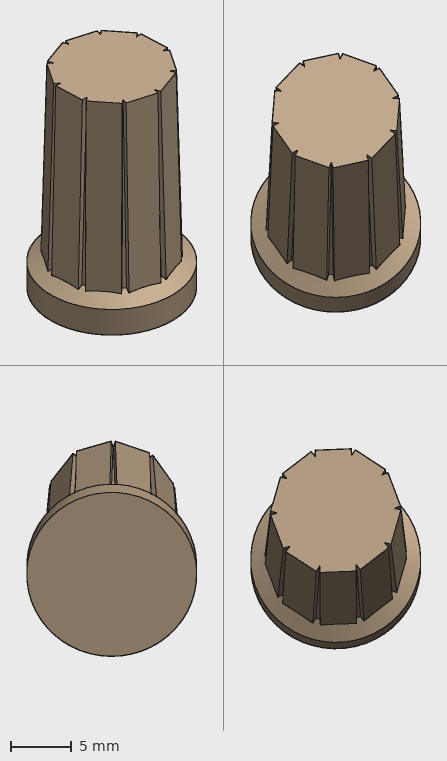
import cadquery as cq

total_height = 22.0
base_diameter = 14.0
base_radius = base_diameter / 2

collar_height = 2.57
shoulder_height = 1.0
shoulder_top_z = collar_height + shoulder_height

core_bottom_radius = 5.41
core_top_radius = 4.86

panel_count = 10
panel_width = 3.0
panel_bottom_distance = 5.63
panel_top_distance = 5.15


def make_body():
    """Revolve the collar, shoulder and tapered core as one profile."""
    return (
        cq.Workplane("XZ")
        .moveTo(0, 0)
        .lineTo(base_radius, 0)
        .lineTo(base_radius, collar_height)
        .lineTo(core_bottom_radius, shoulder_top_z)
        .lineTo(core_top_radius, total_height)
        .lineTo(0, total_height)
        .close()
        .revolve(360, (0, 0), (0, 1))
    )


def make_panel_pair():
    """Make one slab through the axis whose sloping ends are two opposite panels."""
    lean = (panel_bottom_distance - panel_top_distance) / (total_height - shoulder_top_z)
    foot_distance = panel_bottom_distance + lean * shoulder_height
    return (
        cq.Workplane("YZ")
        .moveTo(-foot_distance, collar_height)
        .lineTo(foot_distance, collar_height)
        .lineTo(panel_top_distance, total_height)
        .lineTo(-panel_top_distance, total_height)
        .close()
        .extrude(panel_width / 2, both=True)
    )


result = make_body()
panel_pair = make_panel_pair()
for index in range(panel_count // 2):
    angle = index * 360 / panel_count
    result = result.union(panel_pair.rotate((0, 0, 0), (0, 0, 1), angle))